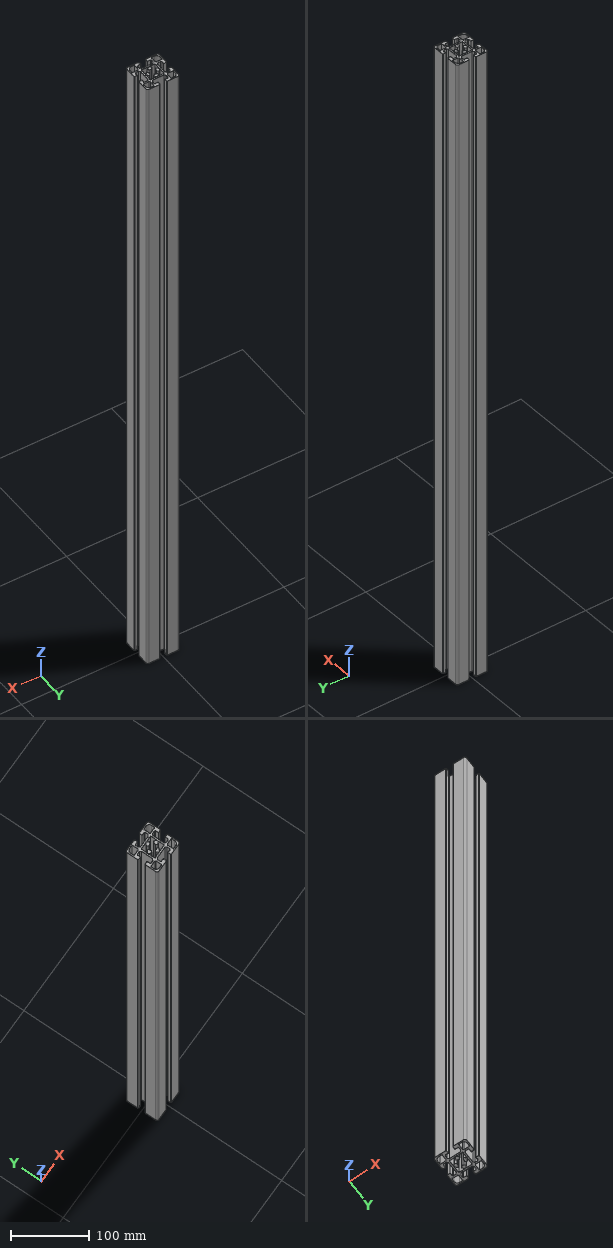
import cadquery as cq

side = 50.0
length = 1000.0
corner_radius = 3.0

mouth_width = 10.0
mouth_chamfer = 1.0
slot_width = 21.0
slot_depth = 12.0
lip_thickness = 5.0
lip_root_chamfer = 1.0
slot_floor_chamfer = 2.0

hollow_side = 10.0
hollow_wall = 2.0
hollow_outer_radius = 5.0
hollow_inner_chamfer = 1.0

bore_diameter = 10.0
neck_width = 5.0
core_wall = 2.5
cell_leg = 10.0

half = side / 2
slot_floor = half - slot_depth


def prism(points):
    return cq.Workplane("XY").polyline(points).close().extrude(length)


def four_around(cutter):
    """Repeat a cutter every quarter turn about the bar's axis."""
    group = cutter
    for quarter in range(1, 4):
        group = group.union(cutter.rotate((0, 0, 0), (0, 0, 1), 90 * quarter))
    return group


def t_slot():
    """T-slot in the +Y face, drawn as its right half and the mirror image of it."""
    mouth = mouth_width / 2
    wall = slot_width / 2
    lip = half - lip_thickness
    right_half = [
        (mouth + mouth_chamfer, half),
        (mouth, half - mouth_chamfer),
        (mouth, lip),
        (wall - lip_root_chamfer, lip),
        (wall, lip - lip_root_chamfer),
        (wall, slot_floor + slot_floor_chamfer),
        (wall - slot_floor_chamfer, slot_floor),
    ]
    left_half = [(-x, y) for x, y in reversed(right_half)]
    return prism(right_half + left_half)


def corner_hollow():
    """Hollow in the +X +Y corner, rounded outwards and chamfered towards the core."""
    middle = half - hollow_wall - hollow_side / 2
    hollow = cq.Workplane("XY").center(middle, middle).rect(hollow_side, hollow_side).extrude(length)
    hollow = hollow.edges("|Z and >X and >Y").fillet(hollow_outer_radius)
    return hollow.edges("|Z and <X and <Y").chamfer(hollow_inner_chamfer)


def core_cell():
    """Right-angled triangular cell in the +X +Y corner of the core, with its neck to the bore."""
    corner = slot_floor - core_wall
    cell = prism([(corner, corner), (corner - cell_leg, corner), (corner, corner - cell_leg)])
    neck_length = (corner - cell_leg / 2) * 2**0.5
    neck = cq.Workplane("XY").center(neck_length / 2, 0).rect(neck_length, neck_width).extrude(length)
    return cell.union(neck.rotate((0, 0, 0), (0, 0, 1), 45))


bar = cq.Workplane("XY").rect(side, side).extrude(length).edges("|Z").fillet(corner_radius)
bore = cq.Workplane("XY").circle(bore_diameter / 2).extrude(length)

result = bar.cut(four_around(t_slot())).cut(four_around(corner_hollow()))
result = result.cut(bore.union(four_around(core_cell())))